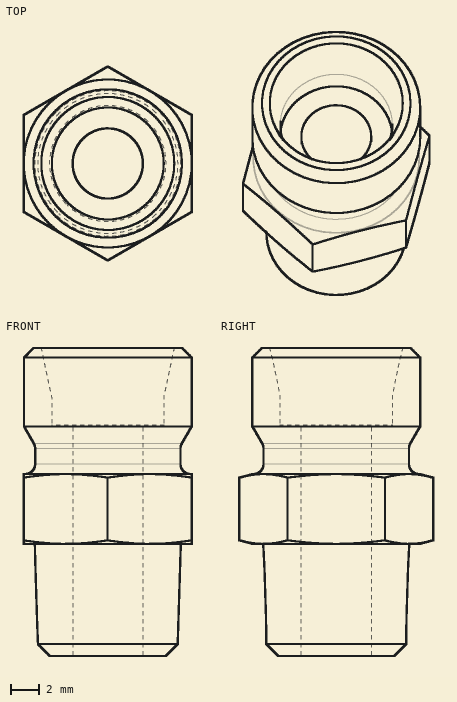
import cadquery as cq
import math

total_length = 22.0
hex_bottom_z = 8.0
hex_height = 5.0
hex_top_z = hex_bottom_z + hex_height
thread_bottom_z = 16.4

thread_radius = 12.0 / 2
thread_chamfer = 0.7

undercut_radius = 10.4 / 2
undercut_cone_angle = math.radians(30)
undercut_fillet = 0.7
undercut_cone_height = (thread_radius - undercut_radius) / math.tan(undercut_cone_angle)

hex_across_flats = 12.0
hex_across_corners = hex_across_flats / math.cos(math.radians(30))
hex_chamfer_angle = math.radians(15)
hex_chamfer_radius = 5.95
envelope_clearance = 1.0

taper_end_radius = 10.0 / 2
taper_ratio = 1 / 16
taper_chamfer = 0.85
taper_length = hex_bottom_z - taper_chamfer
taper_top_radius = taper_end_radius + taper_length * taper_ratio / 2

socket_cone_angle = math.radians(12)
socket_mouth_radius = 9.5 / 2
socket_radius = 8.0 / 2
socket_depth = 5.5
socket_cone_depth = (socket_mouth_radius - socket_radius) / math.tan(socket_cone_angle)
bore_radius = 5.0 / 2


def revolve_profile(points):
    """Revolve a closed (radius, z) outline about the Z axis."""
    return cq.Workplane("XZ").polyline(points).close().revolve(360, (0, 0, 0), (0, 1, 0))


def make_hexagon():
    """Hexagon with flats facing +X and -X and conically chamfered corners."""
    prism = (
        cq.Workplane("XY")
        .workplane(offset=hex_bottom_z)
        .polygon(6, hex_across_corners)
        .extrude(hex_height)
        .rotate((0, 0, 0), (0, 0, 1), 30)
    )
    outer_radius = hex_across_corners / 2 + envelope_clearance
    drop = (outer_radius - hex_chamfer_radius) * math.tan(hex_chamfer_angle)
    envelope = revolve_profile([
        (0, hex_bottom_z),
        (hex_chamfer_radius, hex_bottom_z),
        (outer_radius, hex_bottom_z + drop),
        (outer_radius, hex_top_z - drop),
        (hex_chamfer_radius, hex_top_z),
        (0, hex_top_z),
    ])
    return prism.intersect(envelope)


def make_straight_end():
    """Straight thread with its filleted undercut, standing on the hexagon."""
    fillet = undercut_fillet
    base_arc_mid_offset = fillet * (1 - math.sin(math.radians(45)))
    corner_z = thread_bottom_z - undercut_cone_height
    half_angle = undercut_cone_angle / 2
    tangent = fillet * math.tan(half_angle)
    arc_start_z = corner_z - tangent
    arc_mid = (
        undercut_radius + fillet * (1 - math.cos(half_angle)),
        arc_start_z + fillet * math.sin(half_angle),
    )
    arc_end = (
        undercut_radius + tangent * math.sin(undercut_cone_angle),
        corner_z + tangent * math.cos(undercut_cone_angle),
    )
    return (
        cq.Workplane("XZ")
        .moveTo(0, hex_top_z)
        .lineTo(undercut_radius + fillet, hex_top_z)
        .threePointArc(
            (undercut_radius + base_arc_mid_offset, hex_top_z + base_arc_mid_offset),
            (undercut_radius, hex_top_z + fillet),
        )
        .lineTo(undercut_radius, arc_start_z)
        .threePointArc(arc_mid, arc_end)
        .lineTo(thread_radius, thread_bottom_z)
        .lineTo(thread_radius, total_length - thread_chamfer)
        .lineTo(thread_radius - thread_chamfer, total_length)
        .lineTo(0, total_length)
        .close()
        .revolve(360, (0, 0, 0), (0, 1, 0))
    )


def make_tapered_end():
    """Tapered thread below the hexagon, chamfered at its free end."""
    return revolve_profile([
        (0, 0),
        (taper_end_radius - taper_chamfer, 0),
        (taper_end_radius, taper_chamfer),
        (taper_top_radius, hex_bottom_z),
        (0, hex_bottom_z),
    ])


def make_passage():
    """Conical socket mouth, cylindrical socket and through bore."""
    floor_z = total_length - socket_depth
    return revolve_profile([
        (0, 0),
        (bore_radius, 0),
        (bore_radius, floor_z),
        (socket_radius, floor_z),
        (socket_radius, total_length - socket_cone_depth),
        (socket_mouth_radius, total_length),
        (0, total_length),
    ])


body = make_tapered_end().union(make_hexagon()).union(make_straight_end())
result = body.cut(make_passage())